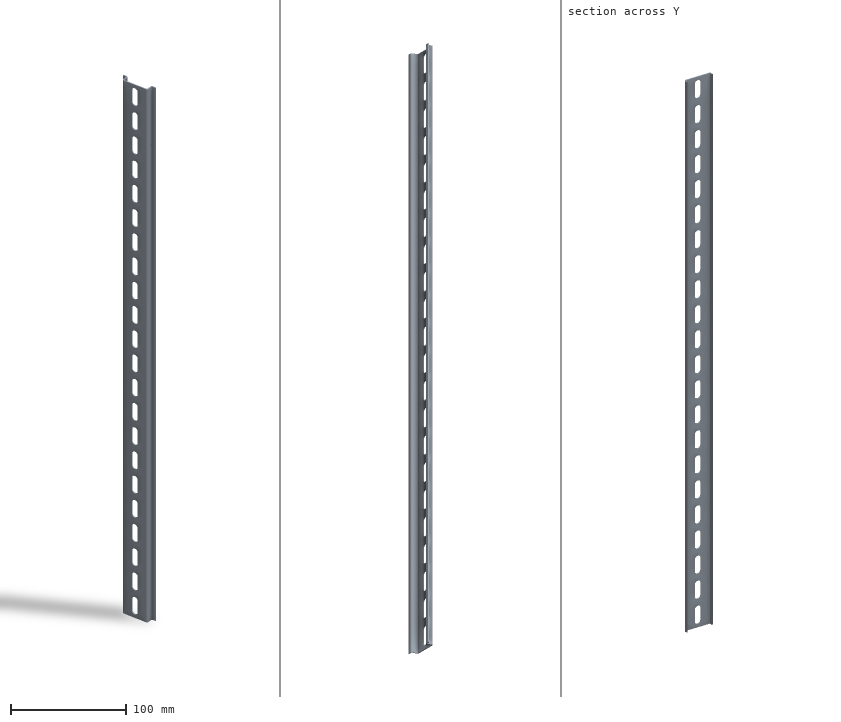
import cadquery as cq

length = 550.0
channel_width = 27.0
flange_reach = 4.0
overall_width = channel_width + 2 * flange_reach
thickness = 1.0
web_to_flange_gap = 5.5
depth = web_to_flange_gap + 2 * thickness
inner_radius = 0.8
outer_radius = inner_radius + thickness

slot_count = 22
slot_pitch = length / slot_count
half_bridge = 3.5
slot_length = slot_pitch - 2 * half_bridge
slot_end_radius = 3.15
slot_width = 2 * slot_end_radius

web_outer_y = -depth / 2
web_inner_y = web_outer_y + thickness
rim_y = depth / 2
flange_inner_y = rim_y - thickness
flange_tip_x = overall_width / 2
wall_outer_x = channel_width / 2
wall_inner_x = wall_outer_x - thickness


def slab(x_min, x_max, y_min, y_max):
    """Full-length rectangular bar between the given X and Y limits."""
    return (
        cq.Workplane("XY", origin=(0, 0, -length / 2))
        .moveTo((x_min + x_max) / 2, (y_min + y_max) / 2)
        .rect(x_max - x_min, y_max - y_min)
        .extrude(length)
    )


def make_rail():
    """Flat web, two side walls and two outward flanges, with rounded bends."""
    envelope = slab(-wall_outer_x, wall_outer_x, web_outer_y, rim_y)
    flanges = slab(-flange_tip_x, flange_tip_x, flange_inner_y, rim_y)
    channel = slab(-wall_inner_x, wall_inner_x, web_inner_y, rim_y)
    rail = envelope.union(flanges).cut(channel)

    for side in (-1, 1):
        outer_corners = [(wall_outer_x, web_outer_y), (wall_inner_x, rim_y)]
        inner_corners = [(wall_inner_x, web_inner_y), (wall_outer_x, flange_inner_y)]
        for corners, radius in ((outer_corners, outer_radius), (inner_corners, inner_radius)):
            for x, y in corners:
                edge_at_corner = cq.selectors.NearestToPointSelector((side * x, y, 0))
                rail = rail.edges("|Z").edges(edge_at_corner).fillet(radius)
    return rail


def make_slots():
    """Evenly spaced round-ended cutters passing through the web."""
    centres = [(0, (i - (slot_count - 1) / 2) * slot_pitch) for i in range(slot_count)]
    return (
        cq.Workplane("XZ")
        .pushPoints(centres)
        .slot2D(slot_length, slot_width, 90)
        .extrude(depth, both=True)
    )


result = make_rail().cut(make_slots())